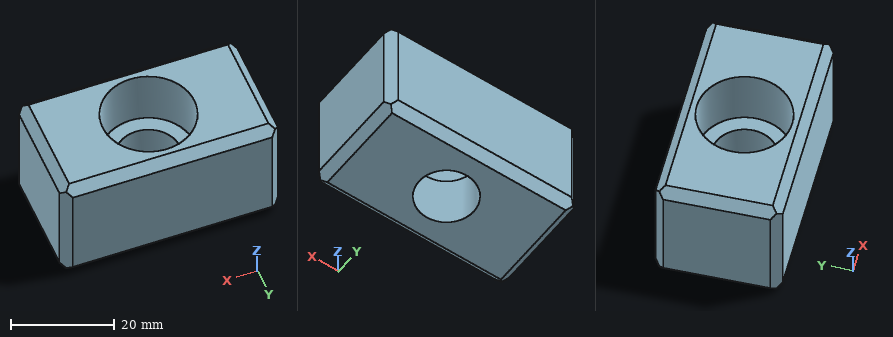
import cadquery as cq

length = 45.5
width = 25.4
height = 25.0
edge_chamfer = 2.0

hole_diameter = 13.0
counterbore_diameter = 19.0
counterbore_depth = 12.45


def bar_with_chamfered_sides(axis):
    """Full-size block with only the four edges parallel to one axis chamfered."""
    return cq.Workplane("XY").box(length, width, height).edges("|" + axis).chamfer(edge_chamfer)


block = (
    bar_with_chamfered_sides("X")
    .intersect(bar_with_chamfered_sides("Y"))
    .intersect(bar_with_chamfered_sides("Z"))
)

result = (
    block.faces(">Z")
    .workplane(centerOption="CenterOfBoundBox")
    .cboreHole(hole_diameter, counterbore_diameter, counterbore_depth)
)